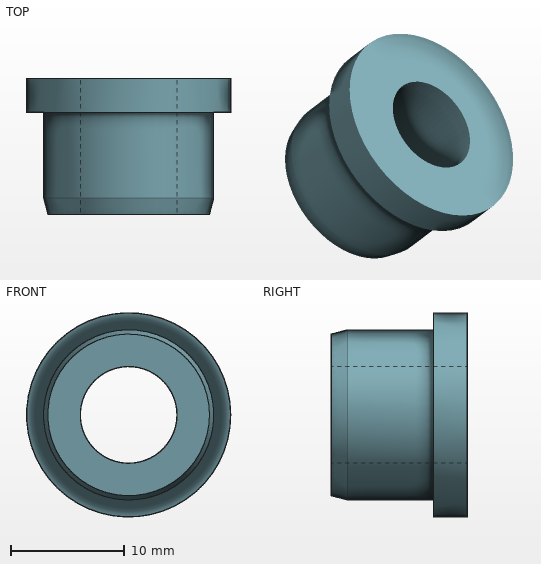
import cadquery as cq

flange_diameter = 18.0
flange_thickness = 3.0
overall_length = 12.0
body_diameter = 15.0
bore_diameter = 8.5

taper_length = 1.44
taper_depth = 0.38

flange_radius = flange_diameter / 2
body_radius = body_diameter / 2
bore_radius = bore_diameter / 2
shoulder_y = overall_length - flange_thickness

half_section = (
    cq.Workplane("XY")
    .moveTo(bore_radius, 0)
    .lineTo(body_radius - taper_depth, 0)
    .lineTo(body_radius, taper_length)
    .lineTo(body_radius, shoulder_y)
    .lineTo(flange_radius, shoulder_y)
    .lineTo(flange_radius, overall_length)
    .lineTo(bore_radius, overall_length)
    .close()
)

result = half_section.revolve(360, (0, 0, 0), (0, 1, 0))